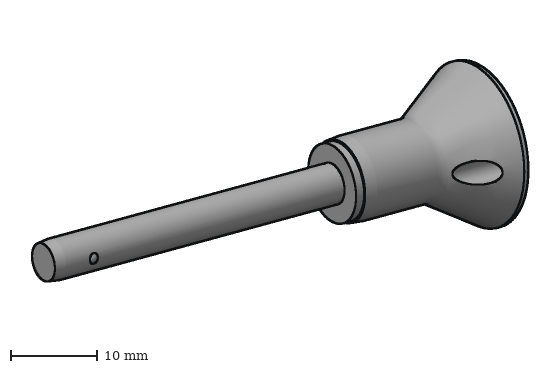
import cadquery as cq
import math


shank_radius = 2.5
shank_length = 41.0
tip_radius = 2.3
tip_length = 1.5

handle_length = 21.0
collar_radius = 4.8
collar_length = 1.15
grip_radius = 5.15
grip_end_radius = 5.0
grip_taper_length = 1.65

knob_radius = 10.0
rim_fillet = 0.4
rim_thickness = 0.8
flare_angle = math.radians(31)
neck_fillet = 2.3

lanyard_hole_diameter = 3.0
lanyard_hole_offset = 7.2

ball_radius = 0.9
ball_reach = 2.7
ball_from_tip = 5.4


def make_handle():
    """Collar, tapered grip and flared knob as one revolved profile."""
    rim_center_x = knob_radius - rim_fillet
    rim_center_y = handle_length - rim_fillet
    rim_mid_x = rim_center_x + rim_fillet * math.sqrt(0.5)
    rim_mid_y = rim_center_y + rim_fillet * math.sqrt(0.5)
    rim_bottom_y = handle_length - rim_thickness
    neck_y = rim_bottom_y - (knob_radius - grip_radius) / math.tan(flare_angle)
    tangent_length = neck_fillet * math.tan(flare_angle / 2)
    flare_start_x = grip_radius + tangent_length * math.sin(flare_angle)
    flare_start_y = neck_y + tangent_length * math.cos(flare_angle)
    neck_mid_x = grip_radius + neck_fillet * (1 - math.cos(flare_angle / 2))
    neck_mid_y = neck_y - tangent_length + neck_fillet * math.sin(flare_angle / 2)

    return (
        cq.Workplane("XY")
        .lineTo(collar_radius, 0)
        .lineTo(collar_radius, collar_length)
        .lineTo(grip_end_radius, collar_length)
        .lineTo(grip_radius, collar_length + grip_taper_length)
        .lineTo(grip_radius, neck_y - tangent_length)
        .threePointArc((neck_mid_x, neck_mid_y), (flare_start_x, flare_start_y))
        .lineTo(knob_radius, rim_bottom_y)
        .lineTo(knob_radius, rim_center_y)
        .threePointArc((rim_mid_x, rim_mid_y), (rim_center_x, handle_length))
        .lineTo(0, handle_length)
        .close()
        .revolve(360, (0, 0, 0), (0, 1, 0))
    )


def make_shank():
    """Cylindrical shank with a tapered tip, rooted inside the handle."""
    return (
        cq.Workplane("XY")
        .moveTo(0, collar_length)
        .lineTo(shank_radius, collar_length)
        .lineTo(shank_radius, tip_length - shank_length)
        .lineTo(tip_radius, -shank_length)
        .lineTo(0, -shank_length)
        .close()
        .revolve(360, (0, 0, 0), (0, 1, 0))
    )


def make_ball(side):
    """Locking ball on the +X (side = 1) or -X (side = -1) flank of the shank."""
    ball_x = side * (ball_reach - ball_radius)
    ball_y = ball_from_tip - shank_length
    return cq.Workplane("XY").sphere(ball_radius).translate((ball_x, ball_y, 0))


def make_lanyard_hole():
    """Cutter running the full length of the handle beside the grip."""
    return (
        cq.Workplane("XZ", origin=(0, handle_length, 0))
        .center(lanyard_hole_offset, 0)
        .circle(lanyard_hole_diameter / 2)
        .extrude(handle_length)
    )


result = make_handle().cut(make_lanyard_hole()).union(make_shank())
for side in (-1, 1):
    result = result.union(make_ball(side))